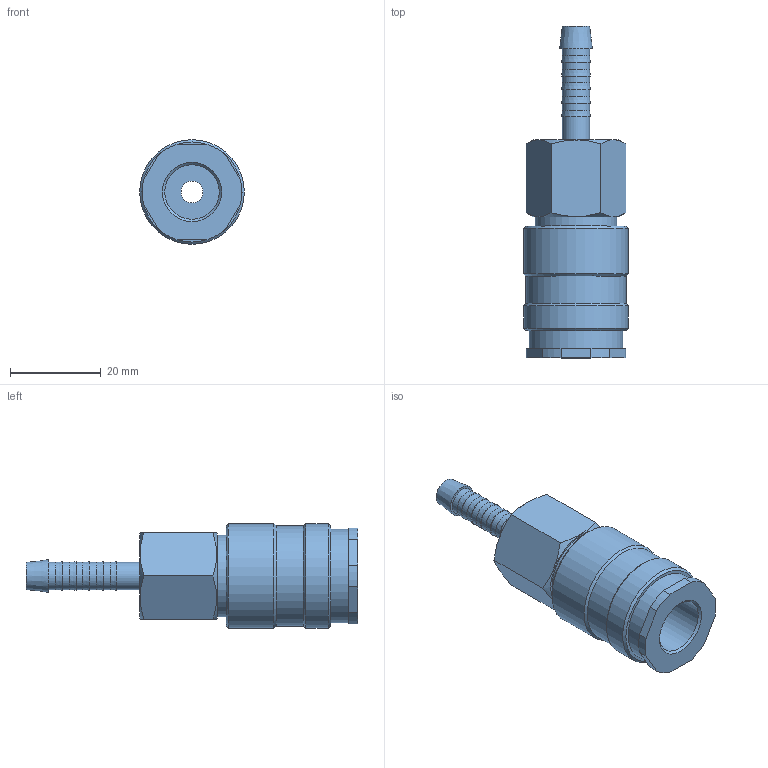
import cadquery as cq
import math


MOUTH_FLANGE_END = 2.0
FRONT_COLLAR_START = 6.0
FRONT_COLLAR_END = 12.0
REAR_COLLAR_START = 18.0
REAR_COLLAR_END = 29.0
HEX_START = 31.0
HEX_END = 48.0
OVERALL_LENGTH = 73.0

COLLAR_RADIUS = 11.5
GRIP_RADIUS = 11.0
COLLAR_CHAMFER = 0.5
FRONT_NECK_RADIUS = 10.3
REAR_NECK_RADIUS = 9.0

HEX_SIDES = 6

FLANGE_RADIUS = 11.0
FLANGE_ACROSS_FLATS = 21.0

HEX_ACROSS_FLATS = 19.0
HEX_FACE_RADIUS = 9.4
HEX_CHAMFER_ANGLE = 30.0

STEM_RADIUS = 3.0
TIP_LENGTH = 5.0
TIP_BASE_RADIUS = 3.6
RIB_COUNT = 5
RIB_PITCH = 3.0
RIB_LENGTH = 1.5
RIB_RADIUS = 3.15

SOCKET_RADIUS = 6.0
SOCKET_DEPTH = 25.0
SOCKET_CHAMFER = 0.5
PASSAGE_RADIUS = 2.4


def cylinder(radius, start, end):
    """Cylinder on the Y axis between two stations."""
    return cq.Workplane("XZ", origin=(0, start, 0)).circle(radius).extrude(start - end)


def revolve_profile(points):
    """Solid of revolution about Y from (radius, station) points closed along the axis."""
    closed = [(0, points[0][1])] + points + [(0, points[-1][1])]
    return cq.Workplane("XY").polyline(closed).close().revolve(360, (0, 0), (0, 1))


def hex_corner_radius(across_flats):
    return across_flats / 2 / math.cos(math.pi / HEX_SIDES)


def hex_prism(across_flats, start, end):
    """Hexagonal prism on the Y axis with corners on +X and -X."""
    across_corners = 2 * hex_corner_radius(across_flats)
    return cq.Workplane("XZ", origin=(0, start, 0)).polygon(HEX_SIDES, across_corners).extrude(start - end)


def collar(start, end):
    return cylinder(COLLAR_RADIUS, start, end).edges().chamfer(COLLAR_CHAMFER)


def mouth_flange():
    disc = cylinder(FLANGE_RADIUS, 0, MOUTH_FLANGE_END)
    return disc.intersect(hex_prism(FLANGE_ACROSS_FLATS, 0, MOUTH_FLANGE_END))


def sleeve():
    body = cylinder(FRONT_NECK_RADIUS, MOUTH_FLANGE_END, FRONT_COLLAR_START + COLLAR_CHAMFER)
    body = body.union(collar(FRONT_COLLAR_START, FRONT_COLLAR_END))
    grip_start = FRONT_COLLAR_END - COLLAR_CHAMFER
    grip_end = REAR_COLLAR_START + COLLAR_CHAMFER
    body = body.union(cylinder(GRIP_RADIUS, grip_start, grip_end))
    body = body.union(collar(REAR_COLLAR_START, REAR_COLLAR_END))
    return body.union(cylinder(REAR_NECK_RADIUS, REAR_COLLAR_END - COLLAR_CHAMFER, HEX_START))


def hex_nut():
    """Hexagon with its corners turned down conically at both ends."""
    corner_radius = hex_corner_radius(HEX_ACROSS_FLATS)
    drop = (corner_radius - HEX_FACE_RADIUS) * math.tan(math.radians(HEX_CHAMFER_ANGLE))
    turned_blank = revolve_profile([
        (HEX_FACE_RADIUS, HEX_START),
        (corner_radius, HEX_START + drop),
        (corner_radius, HEX_END - drop),
        (HEX_FACE_RADIUS, HEX_END),
    ])
    return hex_prism(HEX_ACROSS_FLATS, HEX_START, HEX_END).intersect(turned_blank)


def hose_barb():
    """Stem with saw-tooth ribs and a larger tapered tip."""
    tip_base = OVERALL_LENGTH - TIP_LENGTH
    profile = [(STEM_RADIUS, HEX_END)]
    for index in range(RIB_COUNT, 0, -1):
        rib_base = tip_base - index * RIB_PITCH
        profile += [
            (STEM_RADIUS, rib_base),
            (RIB_RADIUS, rib_base),
            (STEM_RADIUS, rib_base + RIB_LENGTH),
        ]
    profile += [
        (STEM_RADIUS, tip_base),
        (TIP_BASE_RADIUS, tip_base),
        (STEM_RADIUS, OVERALL_LENGTH),
    ]
    return revolve_profile(profile)


def bores():
    """Chamfered socket opening into a narrow passage through the barb."""
    socket = revolve_profile([
        (SOCKET_RADIUS + SOCKET_CHAMFER, 0),
        (SOCKET_RADIUS, SOCKET_CHAMFER),
        (SOCKET_RADIUS, SOCKET_DEPTH),
    ])
    return socket.union(cylinder(PASSAGE_RADIUS, 0, OVERALL_LENGTH))


outer = mouth_flange().union(sleeve()).union(hex_nut()).union(hose_barb())
result = outer.cut(bores())